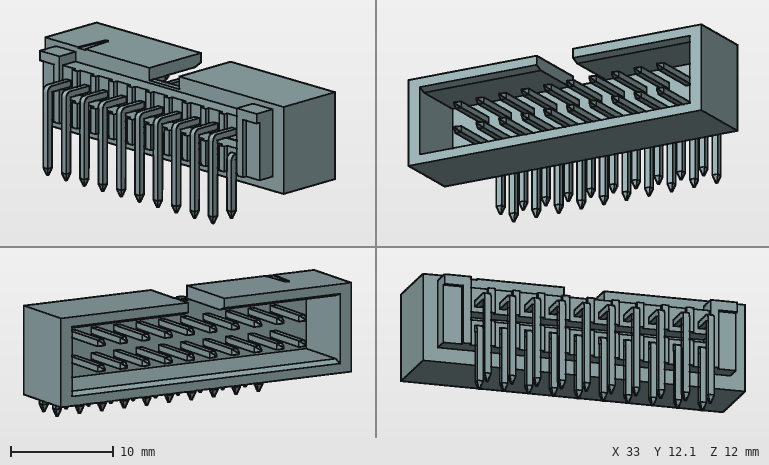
import cadquery as cq


shroud_length = 33.02
shroud_depth = 7.1
shroud_height = 8.88
wall = 1.3
rear_wall = 0.7
lead_in_depth = 0.83
lead_in_drop = 0.33
key_slot_width = 4.1

block_depth = 1.78
block_bottom = 1.45
block_top = shroud_height - 1.55
groove_bottom = 4.03
groove_top = 4.85
rib_width = 0.7

post_width = 2.7
post_inset = 1.52
post_depth = 2.2
post_top = shroud_height - 0.55
relief_width = 1.88

pins_per_row = 10
pitch = 2.55
pin_width = 0.63
tip_length = 0.75
tip_width = 0.13
tip_setback = 0.2
overall_depth = 12.1
overall_height = 11.95

arrow_base = 1.0
arrow_end = 0.5
arrow_length = 3.55
arrow_round = 0.23
arrow_engraving = 0.1

post_outer_x = shroud_length / 2 - post_inset
block_half_length = post_outer_x - post_width
mid_height = shroud_height / 2
first_pin_x = -pitch * (pins_per_row - 1) / 2
pin_xs = [first_pin_x + i * pitch for i in range(pins_per_row)]
upper_tail_y = shroud_depth - overall_depth + pin_width / 2
contact_end_y = shroud_depth - tip_setback
tail_end_z = shroud_height - overall_height
pin_rows = [
    (mid_height + pitch / 2, upper_tail_y),
    (mid_height - pitch / 2, upper_tail_y + pitch),
]


def box(x0, x1, y0, y1, z0, z1):
    """Axis-aligned block between two opposite corners."""
    return cq.Workplane("XY").box(x1 - x0, y1 - y0, z1 - z0, centered=False).translate((x0, y0, z0))


def make_shroud():
    half = shroud_length / 2
    body = box(-half, half, 0, shroud_depth, 0, shroud_height)

    cavity = box(-half + wall, half - wall, rear_wall, shroud_depth, wall, shroud_height - wall)
    body = body.cut(cavity)

    lead_in = (
        cq.Workplane("YZ")
        .moveTo(shroud_depth - lead_in_depth, wall)
        .lineTo(shroud_depth, wall - lead_in_drop)
        .lineTo(shroud_depth, shroud_height - wall + lead_in_drop)
        .lineTo(shroud_depth - lead_in_depth, shroud_height - wall)
        .close()
        .extrude(half - wall, both=True)
    )
    body = body.cut(lead_in)

    slot_half = key_slot_width / 2
    key_slot = box(-slot_half, slot_half, 0, shroud_depth, shroud_height - wall, shroud_height)
    return body.cut(key_slot)


def make_arrow():
    """Tapered, round-ended mark next to pin 1, engraved in the top face."""
    return (
        cq.Workplane("XY", origin=(first_pin_x, 0, shroud_height - arrow_engraving))
        .moveTo(-arrow_base / 2, 0)
        .lineTo(arrow_base / 2, 0)
        .lineTo(arrow_end / 2, arrow_length - arrow_round)
        .threePointArc((0, arrow_length), (-arrow_end / 2, arrow_length - arrow_round))
        .close()
        .extrude(arrow_engraving)
    )


def make_block():
    block = box(-block_half_length, block_half_length, -block_depth, 0, block_bottom, block_top)
    for pin_x in pin_xs[:-1]:
        rib_x = pin_x + (pitch - rib_width) / 2
        block = block.union(box(rib_x, rib_x + rib_width, -post_depth, 0, block_bottom, block_top))
    groove = box(-block_half_length, block_half_length, -post_depth, 0, groove_bottom, groove_top)
    return block.cut(groove)


def make_post():
    """Left end post, with its outer corner cut back level with the block."""
    post = box(-post_outer_x, -block_half_length, -post_depth, 0, block_bottom, post_top)
    relief = box(
        -post_outer_x, -post_outer_x + relief_width, -post_depth, -block_depth, block_bottom, block_top
    )
    return post.cut(relief)


def make_tip():
    """Tapered pin end that points along +Z from its wide base."""
    return (
        cq.Workplane("XY")
        .rect(pin_width, pin_width)
        .workplane(offset=tip_length)
        .rect(tip_width, tip_width)
        .loft(ruled=True)
    )


def make_pin(contact_z, tail_y):
    """Bent pin at X = 0: a contact along +Y and a tail along -Z."""
    half = pin_width / 2
    contact_shoulder = contact_end_y - tip_length
    tail_shoulder = tail_end_z + tip_length
    contact = box(-half, half, tail_y - half, contact_shoulder, contact_z - half, contact_z + half)
    tail = box(-half, half, tail_y - half, tail_y + half, tail_shoulder, contact_z + half)

    bend_blank = box(-half, half, tail_y - half, tail_y + half, contact_z - half, contact_z + half)
    bend_round = (
        cq.Workplane("YZ", origin=(0, tail_y + half, contact_z - half))
        .circle(pin_width)
        .extrude(half, both=True)
    )
    pin = contact.union(tail).cut(bend_blank.cut(bend_round))

    contact_tip = make_tip().rotate((0, 0, 0), (1, 0, 0), -90).translate((0, contact_shoulder, contact_z))
    tail_tip = make_tip().rotate((0, 0, 0), (1, 0, 0), 180).translate((0, tail_y, tail_shoulder))
    return pin.union(contact_tip).union(tail_tip)


left_post = make_post()
result = make_shroud().cut(make_arrow()).union(make_block())
result = result.union(left_post).union(left_post.mirror("YZ"))

for row_z, row_y in pin_rows:
    row_pin = make_pin(row_z, row_y)
    for pin_x in pin_xs:
        result = result.union(row_pin.translate((pin_x, 0, 0)))